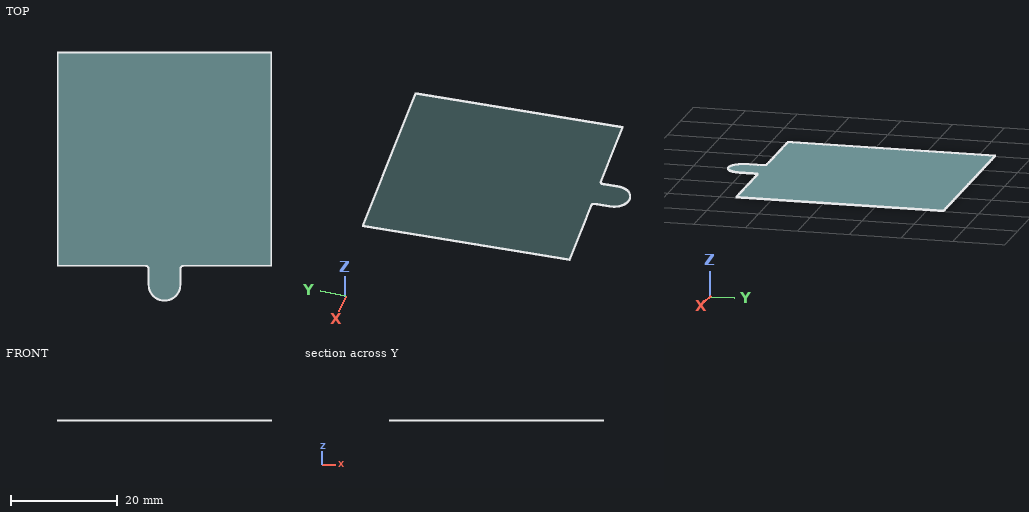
import cadquery as cq

total_length = 46.5
plate_side = 40.0
thickness = 0.17
tab_width = 6.0
root_fillet = 0.5

tab_length = total_length - plate_side
tab_radius = tab_width / 2
tab_straight = tab_length - tab_radius

plate = cq.Workplane("XY").rect(plate_side, plate_side).extrude(thickness).translate((0, plate_side / 2, 0))

tab = (
    cq.Workplane("XY")
    .moveTo(-tab_radius, 0)
    .lineTo(-tab_radius, -tab_straight)
    .threePointArc((0, -tab_length), (tab_radius, -tab_straight))
    .lineTo(tab_radius, 0)
    .close()
    .extrude(thickness)
)

tab_roots = cq.selectors.BoxSelector(
    (-tab_width, -root_fillet, -thickness),
    (tab_width, root_fillet, 2 * thickness),
)
result = plate.union(tab).edges("|Z").edges(tab_roots).fillet(root_fillet)